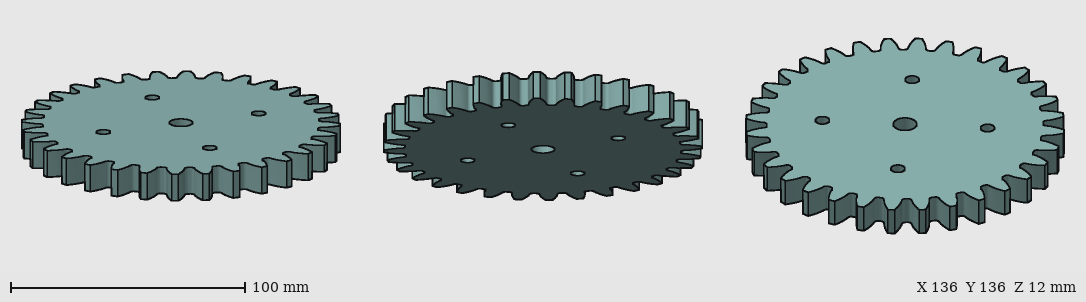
import cadquery as cq
import math

MODULE = 4.0
TOOTH_COUNT = 32
PRESSURE_ANGLE = math.radians(20.0)
ADDENDUM_FACTOR = 1.0
DEDENDUM_FACTOR = 1.25
ROOT_FILLET_FACTOR = 0.40
FLANK_THINNING = 0.04
THICKNESS = 12.0

BORE_DIAMETER = 10.0
BOLT_HOLE_DIAMETER = 6.0
BOLT_SQUARE_SIDE = 50.0

FLANK_STEPS = 6

PITCH_RADIUS = MODULE * TOOTH_COUNT / 2
BASE_RADIUS = PITCH_RADIUS * math.cos(PRESSURE_ANGLE)
TIP_RADIUS = PITCH_RADIUS + ADDENDUM_FACTOR * MODULE
ROOT_RADIUS = PITCH_RADIUS - DEDENDUM_FACTOR * MODULE
FILLET_RADIUS = ROOT_FILLET_FACTOR * MODULE
TOOTH_PITCH = 2 * math.pi / TOOTH_COUNT

PITCH_HALF_ANGLE = TOOTH_PITCH / 4 - FLANK_THINNING / PITCH_RADIUS
BASE_HALF_ANGLE = PITCH_HALF_ANGLE + math.tan(PRESSURE_ANGLE) - PRESSURE_ANGLE


def polar(radius, angle):
    """Cartesian point at a radius and angle about the gear axis."""
    return (radius * math.cos(angle), radius * math.sin(angle))


def roll_at(radius):
    """Involute roll angle at which the flank reaches the given radius."""
    return math.sqrt((radius / BASE_RADIUS) ** 2 - 1)


def involute(roll):
    """Radius on the flank, and its angle advanced from the flank start."""
    return BASE_RADIUS * math.hypot(1, roll), roll - math.atan(roll)


FILLET_SHIFT = FILLET_RADIUS / BASE_RADIUS
FILLET_CENTRE_RADIUS = ROOT_RADIUS + FILLET_RADIUS
FILLET_CENTRE_ROLL = roll_at(FILLET_CENTRE_RADIUS)
FILLET_CENTRE_ANGLE = BASE_HALF_ANGLE + FILLET_SHIFT - involute(FILLET_CENTRE_ROLL)[1]
FLANK_START_ROLL = FILLET_CENTRE_ROLL - FILLET_SHIFT
FLANK_END_ROLL = roll_at(TIP_RADIUS)


def flank_points():
    """Flank on the positive side of a tooth centred on angle 0, root to tip, as (radius, angle)."""
    points = []
    for step in range(FLANK_STEPS + 1):
        roll = FLANK_START_ROLL + (FLANK_END_ROLL - FLANK_START_ROLL) * step / FLANK_STEPS
        radius, advance = involute(roll)
        points.append((radius, BASE_HALF_ANGLE - advance))
    return points


def fillet_middle(flank_foot):
    """Point halfway along the root fillet, as (radius, angle)."""
    centre_x, centre_y = polar(FILLET_CENTRE_RADIUS, FILLET_CENTRE_ANGLE)
    foot_x, foot_y = polar(*flank_foot)
    root_x, root_y = polar(ROOT_RADIUS, FILLET_CENTRE_ANGLE)
    toward_x = (foot_x + root_x) / 2 - centre_x
    toward_y = (foot_y + root_y) / 2 - centre_y
    reach = FILLET_RADIUS / math.hypot(toward_x, toward_y)
    x = centre_x + toward_x * reach
    y = centre_y + toward_y * reach
    return math.hypot(x, y), math.atan2(y, x)


def add_tooth(outline, centre_angle):
    """Continue the outline over one tooth and along the root land after it."""
    flank = flank_points()
    fillet = fillet_middle(flank[0])

    def leading(point):
        return polar(point[0], centre_angle - point[1])

    def trailing(point):
        return polar(point[0], centre_angle + point[1])

    root_end = (ROOT_RADIUS, FILLET_CENTRE_ANGLE)
    land_middle = (ROOT_RADIUS, TOOTH_PITCH / 2)
    land_end = (ROOT_RADIUS, TOOTH_PITCH - FILLET_CENTRE_ANGLE)

    outline = outline.threePointArc(leading(fillet), leading(flank[0]))
    outline = outline.spline([leading(point) for point in flank[1:]], includeCurrent=True)
    outline = outline.threePointArc(polar(TIP_RADIUS, centre_angle), trailing(flank[-1]))
    outline = outline.spline([trailing(point) for point in flank[-2::-1]], includeCurrent=True)
    outline = outline.threePointArc(trailing(fillet), trailing(root_end))
    return outline.threePointArc(trailing(land_middle), trailing(land_end))


def gear_blank():
    """Toothed disc with one tooth centred on +X, standing on Z = 0."""
    outline = cq.Workplane("XY").moveTo(*polar(ROOT_RADIUS, -FILLET_CENTRE_ANGLE))
    for tooth in range(TOOTH_COUNT):
        outline = add_tooth(outline, tooth * TOOTH_PITCH)
    return outline.close().extrude(THICKNESS)


def cut_bore(body):
    """Through bore on the gear axis."""
    return body.faces(">Z").workplane(origin=(0, 0, THICKNESS)).hole(BORE_DIAMETER)


def cut_bolt_holes(body):
    """Four through holes on the corners of a square about the axis."""
    face = body.faces(">Z").workplane(origin=(0, 0, THICKNESS))
    corners = face.rarray(BOLT_SQUARE_SIDE, BOLT_SQUARE_SIDE, 2, 2)
    return corners.hole(BOLT_HOLE_DIAMETER)


result = cut_bolt_holes(cut_bore(gear_blank()))